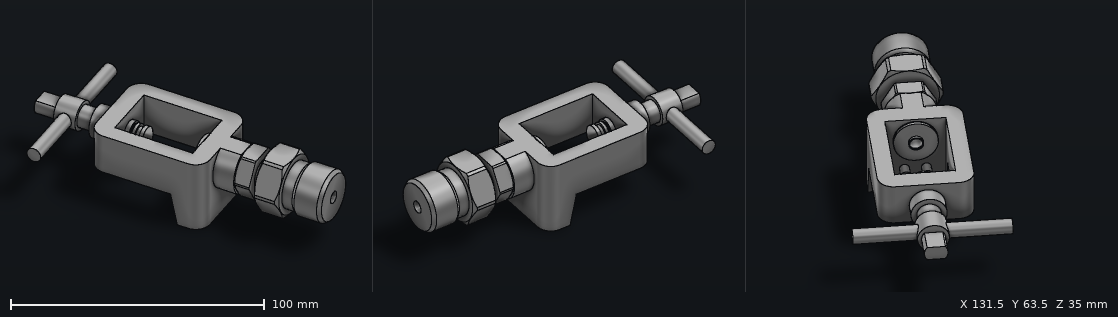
import cadquery as cq
import math


TANG_DIA = 9.5
TANG_THICKNESS = 6.0
HEAD_START = 9.6
HEAD_END = 19.2
HEAD_DIA = 12.8
HANDLE_DIA = 6.3
HANDLE_LENGTH = 63.5
SHANK_DIA = 9.7
SHANK_END = 42.2
TIP_DIA = 8.7
TIP_NECK_DIA = 7.9
TIP_COLLAR_START = 42.9
TIP_COLLAR_END = 44.4
TIP_GROOVE_DIA = 6.7
TIP_GROOVE_END = 46.4
TIP_DOME_START = 48.1
TIP_DOME_HEIGHT = 1.8

YOKE_START = 32.1
YOKE_END = 83.1
YOKE_WIDTH = 38.4
YOKE_TOP = 9.7
YOKE_BOTTOM = -8.1
YOKE_CORNER_RADIUS = 6.5
WINDOW_START = 40.1
WINDOW_END = 74.9
WINDOW_WIDTH = 24.2
SCREW_BOSS_START = 25.8
SCREW_BOSS_DIA = 14.3

JAW_BOTTOM = -22.2
JAW_TOP_START = 68.7
JAW_BOTTOM_START = 71.8

PIN_DIA = 4.0
PIN_SPACING = 8.7
PIN_Z = -14.0
PIN_START = 69.9
SEAL_DIA = 17.9
SEAL_START = 73.0
SEAL_END = 74.5
SEAL_SEAT_DIA = 17.5
NOZZLE_DIA = 5.9
NOZZLE_START = 71.8
BORE_DIA = 5.1

OUTLET_BOSS_DIA = 21.2
OUTLET_BOSS_END = 92.4
SMALL_HEX_FLATS = 19.3
SMALL_HEX_CORNERS = 21.8
SMALL_HEX_FACE_DIA = 19.0
SMALL_HEX_CHAMFER_DEPTH = 0.7
SMALL_HEX_END = 99.5
OUTLET_NECK_DIA = 13.3
LARGE_HEX_START = 102.8
LARGE_HEX_END = 113.7
LARGE_HEX_FLATS = 25.5
LARGE_HEX_CORNERS = 28.7
LARGE_HEX_FACE_DIA = 25.2
LARGE_HEX_CHAMFER_DEPTH = 1.0
THREAD_RELIEF_DIA = 20.2
THREAD_RELIEF_END = 118.3
THREAD_DIA = 22.6
THREAD_START = 119.8
THREAD_CHAMFER_START = 129.9
THREAD_FACE_DIA = 20.2
OVERALL_LENGTH = 131.5


def cylinder(start, end, diameter, y=0, z=0):
    """Cylinder along X from start to end."""
    return cq.Workplane("YZ", origin=(start, y, z)).circle(diameter / 2).extrude(end - start)


def cone(start, end, start_dia, end_dia):
    """Truncated cone along X from start to end."""
    solid = cq.Solid.makeCone(
        start_dia / 2, end_dia / 2, end - start, cq.Vector(start, 0, 0), cq.Vector(1, 0, 0)
    )
    return cq.Workplane("XY").add(solid)


def hexagon(start, end, flats):
    """Hexagonal prism along X with two flats facing up and down."""
    return (
        cq.Workplane("YZ", origin=(start, 0, 0))
        .polygon(6, flats / math.cos(math.pi / 6))
        .extrude(end - start)
    )


def block(start, end, width, bottom, top):
    """Box centred on Y = 0."""
    return cq.Workplane("XY", origin=(start, -width / 2, bottom)).box(
        end - start, width, top - bottom, centered=False
    )


def make_screw_body():
    """Turned part of the screw: head, shank, and a grooved tip ending in a dome."""
    head_radius = HEAD_DIA / 2
    shank_radius = SHANK_DIA / 2
    tip_neck_radius = TIP_NECK_DIA / 2
    tip_radius = TIP_DIA / 2
    groove_radius = TIP_GROOVE_DIA / 2
    dome_end = TIP_DOME_START + TIP_DOME_HEIGHT
    dome_radius = (tip_radius**2 + TIP_DOME_HEIGHT**2) / (2 * TIP_DOME_HEIGHT)
    half_angle = math.asin(tip_radius / dome_radius) / 2
    dome_middle = (dome_end - dome_radius * (1 - math.cos(half_angle)), dome_radius * math.sin(half_angle))
    return (
        cq.Workplane("XY")
        .moveTo(HEAD_START, 0)
        .lineTo(HEAD_START, head_radius)
        .lineTo(HEAD_END, head_radius)
        .lineTo(HEAD_END, shank_radius)
        .lineTo(SHANK_END, shank_radius)
        .lineTo(SHANK_END, tip_neck_radius)
        .lineTo(TIP_COLLAR_START, tip_neck_radius)
        .lineTo(TIP_COLLAR_START, tip_radius)
        .lineTo(TIP_COLLAR_END, tip_radius)
        .lineTo(TIP_COLLAR_END, groove_radius)
        .lineTo(TIP_GROOVE_END, groove_radius)
        .lineTo(TIP_GROOVE_END, tip_radius)
        .lineTo(TIP_DOME_START, tip_radius)
        .threePointArc(dome_middle, (dome_end, 0))
        .close()
        .revolve(360, (0, 0, 0), (1, 0, 0))
    )


def make_screw():
    """Clamp screw with its flattened driving tang and cross handle."""
    tang = cylinder(0, HEAD_START, TANG_DIA).intersect(
        block(0, HEAD_START, TANG_DIA, -TANG_THICKNESS / 2, TANG_THICKNESS / 2)
    )
    handle = (
        cq.Workplane("XZ", origin=((HEAD_START + HEAD_END) / 2, 0, 0))
        .circle(HANDLE_DIA / 2)
        .extrude(HANDLE_LENGTH / 2, both=True)
    )
    return make_screw_body().union(tang).union(handle)


def make_frame():
    """Rectangular yoke frame with its jaw and the boss that carries the screw."""
    frame = block(YOKE_START, YOKE_END, YOKE_WIDTH, JAW_BOTTOM, YOKE_TOP)
    frame = frame.edges("|Z").fillet(YOKE_CORNER_RADIUS)
    side_profile = (
        cq.Workplane("XZ")
        .moveTo(YOKE_START, YOKE_TOP)
        .lineTo(YOKE_END, YOKE_TOP)
        .lineTo(YOKE_END, JAW_BOTTOM)
        .lineTo(JAW_BOTTOM_START, JAW_BOTTOM)
        .lineTo(JAW_TOP_START, YOKE_BOTTOM)
        .lineTo(YOKE_START, YOKE_BOTTOM)
        .close()
        .extrude(YOKE_WIDTH / 2, both=True)
    )
    window = block(WINDOW_START, WINDOW_END, WINDOW_WIDTH, JAW_BOTTOM, YOKE_TOP)
    screw_boss = cylinder(SCREW_BOSS_START, YOKE_START, SCREW_BOSS_DIA)
    screw_hole = cylinder(SCREW_BOSS_START, WINDOW_START, SHANK_DIA)
    return frame.intersect(side_profile).cut(window).union(screw_boss).cut(screw_hole)


def make_inlet():
    """Seal and nozzle facing the screw, with the two index pins below them."""
    inlet = cylinder(SEAL_START, SEAL_END, SEAL_DIA)
    inlet = inlet.union(cylinder(SEAL_END, WINDOW_END, SEAL_SEAT_DIA))
    inlet = inlet.union(cylinder(NOZZLE_START, SEAL_START, NOZZLE_DIA))
    for side in (-1, 1):
        inlet = inlet.union(cylinder(PIN_START, WINDOW_END, PIN_DIA, side * PIN_SPACING / 2, PIN_Z))
    return inlet


def make_small_hex():
    """Small hexagon with trimmed corners, chamfered on the face next to the boss."""
    body_start = OUTLET_BOSS_END + SMALL_HEX_CHAMFER_DEPTH
    envelope = cone(OUTLET_BOSS_END, body_start, SMALL_HEX_FACE_DIA, SMALL_HEX_CORNERS).union(
        cylinder(body_start, SMALL_HEX_END, SMALL_HEX_CORNERS)
    )
    return hexagon(OUTLET_BOSS_END, SMALL_HEX_END, SMALL_HEX_FLATS).intersect(envelope)


def make_large_hex():
    """Large hexagon with trimmed corners and both end faces chamfered."""
    body_start = LARGE_HEX_START + LARGE_HEX_CHAMFER_DEPTH
    body_end = LARGE_HEX_END - LARGE_HEX_CHAMFER_DEPTH
    envelope = (
        cone(LARGE_HEX_START, body_start, LARGE_HEX_FACE_DIA, LARGE_HEX_CORNERS)
        .union(cylinder(body_start, body_end, LARGE_HEX_CORNERS))
        .union(cone(body_end, LARGE_HEX_END, LARGE_HEX_CORNERS, LARGE_HEX_FACE_DIA))
    )
    return hexagon(LARGE_HEX_START, LARGE_HEX_END, LARGE_HEX_FLATS).intersect(envelope)


def make_outlet():
    """Outlet stem: flattened boss, two hexagons and a threaded end."""
    boss = cylinder(YOKE_END, OUTLET_BOSS_END, OUTLET_BOSS_DIA).intersect(
        block(YOKE_END, OUTLET_BOSS_END, OUTLET_BOSS_DIA, -OUTLET_BOSS_DIA / 2, YOKE_TOP)
    )
    return (
        boss.union(make_small_hex())
        .union(cylinder(SMALL_HEX_END, LARGE_HEX_START, OUTLET_NECK_DIA))
        .union(make_large_hex())
        .union(cylinder(LARGE_HEX_END, THREAD_RELIEF_END, THREAD_RELIEF_DIA))
        .union(cone(THREAD_RELIEF_END, THREAD_START, THREAD_RELIEF_DIA, THREAD_DIA))
        .union(cylinder(THREAD_START, THREAD_CHAMFER_START, THREAD_DIA))
        .union(cone(THREAD_CHAMFER_START, OVERALL_LENGTH, THREAD_DIA, THREAD_FACE_DIA))
    )


screw = make_screw()
bore = cylinder(NOZZLE_START, OVERALL_LENGTH, BORE_DIA)
yoke = make_frame().union(make_inlet()).union(make_outlet()).cut(bore)

result = cq.Compound.makeCompound([screw.val(), yoke.val()])